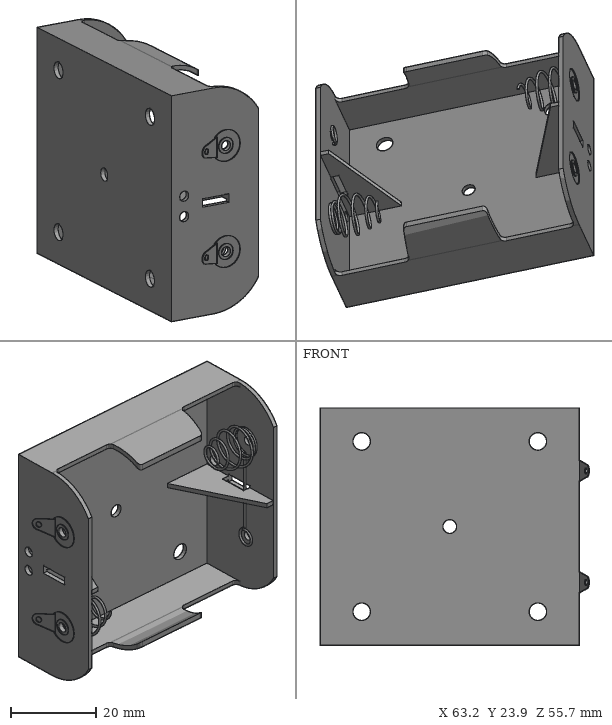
import cadquery as cq
import math


length = 60.8
depth = 23.85
width = 55.65
wall = 1.15
corner_radius = 14.3
corner_height = 11.5
rim_height = 11.1
rim_fillet = 1.25
inner_end = length / 2 - wall

tab_height = 19.95
tab_top_half = 10.15
tab_base_half = 11.35
tab_fillet = 0.95

rib_thickness = 1.15
rib_height = 23.7
rib_top_reach = 2.0
rib_rim_reach = 8.0

slot_bottom = 8.5
slot_top = 15.7
slot_width = 2.1
slot_reach = 1.95

mount_hole = 4.05
mount_x = 20.65
mount_z = 19.95
centre_hole = 3.15
lead_hole = 2.45
lead_height = 3.5
lead_z = 2.5

axis_height = 14.95
axis_z = 13.05
seat_diameter = 7.75
seat_depth = 0.25
boss_diameter = 3.9
contact_hole_outer = 2.4
contact_hole_inner = 2.15

wire = 0.55
wire_radius = wire / 2
coil_gap = 0.03
close_pitch = wire + coil_gap
wire_offset = wire_radius
link_height = 14.4
spring_tops = [
    (wire_offset + close_pitch / 2, 3.55),
    (wire_offset + close_pitch * 1.5, 3.6),
    (3.3, 5.1),
    (6.6, 4.6),
    (9.6, 3.5),
    (11.9, 2.6),
]
spring_start_radius = 3.55
button_radius = 2.1
button_turns = 1.0
turn_steps = 12

lug_thickness = seat_depth
lug_bend_drop = 2.35
lug_base_width = 5.05
lug_tip_radius = 1.5
lug_length = 5.95
lug_reach = 2.35
lug_hole = 1.4
lug_hole_distance = 4.3


def end_profile(inset):
    """Cross-section of the housing in the YZ plane, shrunk inward by inset."""
    radius = corner_radius - inset
    half_width = width / 2 - inset
    arc_z = width / 2 - corner_radius

    def arc_point(height):
        return (height, arc_z + math.sqrt(radius**2 - (height - corner_height) ** 2))

    top_y, top_z = arc_point(depth)
    mid_y, mid_z = arc_point((corner_height + depth) / 2)
    return (
        cq.Workplane("YZ")
        .moveTo(inset, -half_width)
        .lineTo(corner_height, -half_width)
        .threePointArc((mid_y, -mid_z), (top_y, -top_z))
        .lineTo(top_y, top_z)
        .threePointArc((mid_y, mid_z), (corner_height, half_width))
        .lineTo(inset, half_width)
        .close()
    )


def rim_cutter():
    """Everything removed above the rim between the end walls, leaving the tab outline."""
    top = 2 * depth
    outline = [
        (-inner_end, top),
        (-inner_end, rim_height),
        (-tab_base_half, rim_height),
        (-tab_top_half, tab_height),
        (tab_top_half, tab_height),
        (tab_base_half, rim_height),
        (inner_end, rim_height),
        (inner_end, top),
    ]
    cutter = (
        cq.Workplane("XY")
        .polyline(outline)
        .close()
        .extrude(width / 2, both=True)
    )
    probe = 0.05
    low = cq.selectors.BoxSelector(
        (-length, rim_height - probe, -width), (length, rim_height + probe, width))
    high = cq.selectors.BoxSelector(
        (-length, tab_height - probe, -width), (length, tab_height + probe, width))
    cutter = cutter.edges("|Z").edges(low).fillet(rim_fillet)
    return cutter.edges("|Z").edges(high).fillet(tab_fillet)


def rib(side):
    """Partition rib on the end wall at side * X, sloping down to the floor."""
    slope = (rib_rim_reach - rib_top_reach) / (rib_height - rim_height)
    floor_reach = rib_rim_reach + slope * (rim_height - wall)
    return (
        cq.Workplane("XY")
        .polyline([
            (side * inner_end, wall),
            (side * inner_end, rib_height),
            (side * (inner_end - rib_top_reach), rib_height),
            (side * (inner_end - floor_reach), wall),
        ])
        .close()
        .extrude(rib_thickness / 2, both=True)
    )


def seat_ring(side, z):
    """Shallow ring in the outer face of an end wall, around a central boss."""
    return (
        cq.Workplane("YZ", origin=(side * length / 2, axis_height, z))
        .circle(seat_diameter / 2)
        .circle(boss_diameter / 2)
        .extrude(-side * seat_depth)
    )


def contact_hole(side, z):
    """Tapered hole through an end wall on a cell axis."""
    return (
        cq.Workplane("YZ", origin=(side * length / 2, axis_height, z))
        .circle(contact_hole_outer / 2)
        .workplane(offset=-side * wall)
        .circle(contact_hole_inner / 2)
        .loft()
    )


def make_housing():
    """Open tray with end walls, ribs and retaining tabs."""
    body = end_profile(0).extrude(length / 2, both=True)
    body = body.cut(rim_cutter())
    body = body.cut(end_profile(wall).extrude(inner_end, both=True))

    for side in (-1, 1):
        body = body.union(rib(side))

    slot_length = wall + slot_reach
    slot_x = (length - slot_length) / 2
    slot_y = (slot_bottom + slot_top) / 2
    slot = cq.Workplane("XY").box(slot_length, slot_top - slot_bottom, slot_width)
    for side in (-1, 1):
        body = body.cut(slot.translate((side * slot_x, slot_y, 0)))

    lead_places = [(lead_height, -lead_z), (lead_height, lead_z)]
    lead_holes = cq.Workplane("YZ").pushPoints(lead_places).circle(lead_hole / 2)
    body = body.cut(lead_holes.extrude(length / 2, both=True))

    for side in (-1, 1):
        for z in (-axis_z, axis_z):
            body = body.cut(seat_ring(side, z))
            body = body.cut(contact_hole(side, z))

    mounts = [(x, z) for x in (-mount_x, mount_x) for z in (-mount_z, mount_z)]
    floor = cq.Workplane("XZ")
    body = body.cut(floor.pushPoints(mounts).circle(mount_hole / 2).extrude(-wall))
    return body.cut(floor.circle(centre_hole / 2).extrude(-wall))


def wire_along(points):
    """Round wire swept along a smooth curve through the points."""
    path = cq.Workplane("XY").spline(points)
    start = path.val().startPoint()
    tangent = path.val().tangentAt(0)
    section = cq.Workplane(cq.Plane(origin=start, normal=tangent)).circle(wire_radius)
    return section.sweep(path, isFrenet=True)


def start_angle(radius):
    """Angle past the inward direction at which a coil meets the height of the link."""
    return math.asin((axis_height - link_height) / radius)


def coil_point(distance, radius, angle, side_z):
    """Point on a coil at the -X wall; angle runs from +Y through the middle of the holder."""
    return (
        -inner_end + distance,
        axis_height + radius * math.cos(angle),
        side_z * (axis_z - radius * math.sin(angle)),
    )


def make_spring():
    """Spring on the +Z cell axis at the -X wall: two close turns, then a tapering barrel."""
    first_angle = math.pi / 2 + start_angle(spring_start_radius)
    knots = [(first_angle / (2 * math.pi), wire_offset, spring_start_radius)]
    knots += [(turn, *top) for turn, top in enumerate(spring_tops, start=1)]
    points = []
    for (turn_a, dist_a, rad_a), (turn_b, dist_b, rad_b) in zip(knots, knots[1:]):
        for step in range(turn_steps):
            part = step / turn_steps
            points.append(coil_point(
                dist_a + part * (dist_b - dist_a),
                rad_a + part * (rad_b - rad_a),
                2 * math.pi * (turn_a + part * (turn_b - turn_a)),
                1))
    last_turn, last_dist, last_rad = knots[-1]
    points.append(coil_point(last_dist, last_rad, 2 * math.pi * last_turn, 1))
    return wire_along(points)


def make_button():
    """Single flat coil on the -Z cell axis at the -X wall."""
    first_angle = math.pi / 2 + start_angle(button_radius)
    steps = round(button_turns * turn_steps)
    points = []
    for step in range(steps + 1):
        turns = button_turns * step / steps
        points.append(coil_point(
            wire_offset + close_pitch * turns, button_radius,
            first_angle + 2 * math.pi * turns, -1))
    return wire_along(points)


def make_link():
    """Straight wire joining the starts of the spring and the button coil at the -X wall."""
    button_z = -axis_z + math.sqrt(button_radius**2 - (axis_height - link_height) ** 2)
    spring_z = axis_z - math.sqrt(spring_start_radius**2 - (axis_height - link_height) ** 2)
    return (
        cq.Workplane("XY", origin=(-inner_end + wire_offset, link_height, button_z))
        .circle(wire_radius)
        .extrude(spring_z - button_z)
    )


def to_other_end(contact):
    """Half turn about Y, which carries a contact to the +X wall and the other cell."""
    return contact.rotate((0, 0, 0), (0, 1, 0), 180)


def make_lug(z):
    """Washer in the +X seat with a solder tab bent outward below the cell axis."""
    washer = seat_ring(1, z)
    bend_height = axis_height - lug_bend_drop
    below_bend = (
        cq.Workplane("XY")
        .box(length, seat_diameter, seat_diameter)
        .translate((length / 2, bend_height - lug_thickness - seat_diameter / 2, z))
    )
    washer = washer.cut(below_bend)

    tilt = math.asin(lug_reach / lug_length)
    outward = (math.cos(tilt), math.sin(tilt), 0)
    plane = cq.Plane(origin=(length / 2, bend_height, z), xDir=(0, 0, -1), normal=outward)
    round_start = -(lug_length - lug_tip_radius)
    tab = (
        cq.Workplane(plane)
        .moveTo(-lug_base_width / 2, 0)
        .lineTo(-lug_tip_radius, round_start)
        .threePointArc((0, -lug_length), (lug_tip_radius, round_start))
        .lineTo(lug_base_width / 2, 0)
        .close()
        .extrude(-lug_thickness)
    )
    hole = (
        cq.Workplane(plane)
        .center(0, -lug_hole_distance)
        .circle(lug_hole / 2)
        .extrude(-lug_thickness)
    )
    return washer.union(tab.cut(hole))


housing = make_housing()
link_contact = make_spring().union(make_link()).union(make_button())
spring_contact = to_other_end(make_spring())
button_contact = to_other_end(make_button())
lugs = [make_lug(z) for z in (-axis_z, axis_z)]

result = cq.Compound.makeCompound([
    housing.val(),
    link_contact.val(),
    spring_contact.val(),
    button_contact.val(),
    *[lug.val() for lug in lugs],
])